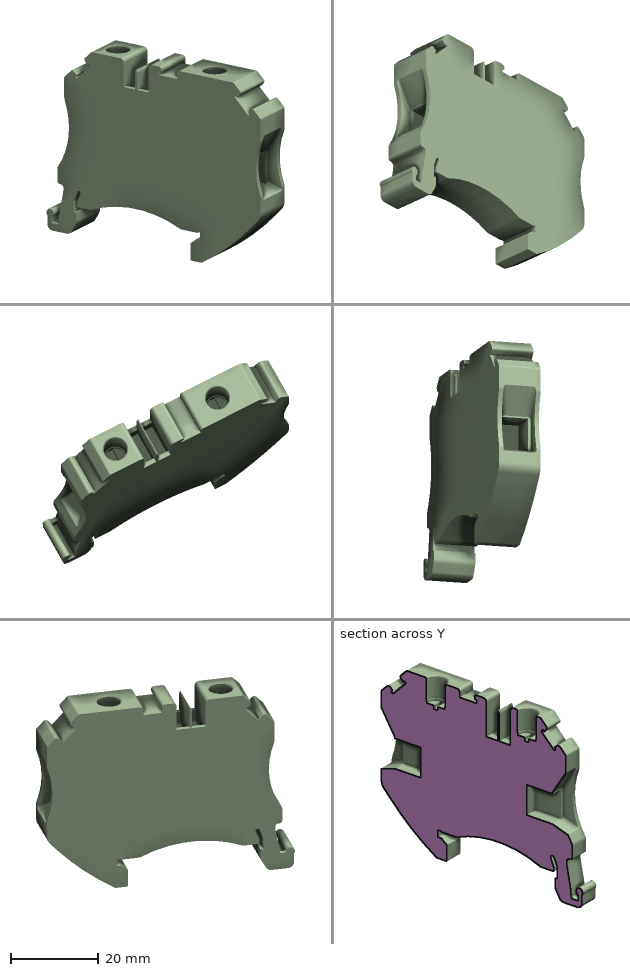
import cadquery as cq
import math

length = 58.85
width = 10.0
height = 45.5
half_width = width / 2

housing_left = 4.9
housing_centre = (housing_left + length) / 2
shoulder_z = 38.0

notch_outer = shoulder_z - housing_left
notch_floor = 30.0
notch_lower_wall = 47.4
notch_upper_wall = 53.45
notch_lip_radius = 0.65
undercut_size = 0.55
back_skin = 0.4

slot_left = 21.2
slot_right = 28.1
slot_floor = 38.65
slot_round = 0.95
pocket_width = 7.9
pocket_depth = 2.95
blade_thickness = 0.6
blade_top = 43.5
blade_bevel = 0.65
blade_bevel_inset = 0.25
marker_left = 31.6
marker_right = 35.9
marker_floor = 43.45
marker_round = 0.75
marker_undercut_reach = 0.65
marker_undercut_height = 1.0

grip_radius = 18.0
grip_depth = 1.3
grip_z = 25.9
flare_left = 3.0
flare_bottom = 11.7
flare_round = 2.05
shoulder_round = 0.55
grip_edge_round = 1.95

rail_z = 7.05
arch_half_span = 12.3
arch_rise = 2.6
arch_x = 24.6
claw_left = 39.6
claw_toe = 42.6
claw_root = 42.25
belly_radius = 64.75

foot_left = 0.25
foot_right = 8.2
hook_roll_radius = 1.0
hook_roll_z = 4.2
hook_roll_inner = 1.75
web_thickness = 1.0

screw_x = (16.35, 42.9)
well_diameter = 5.5
well_chamfer = 0.25
well_depth = 5.9
head_diameter = 5.0
head_recess = 0.6
driver_slot_width = 1.1
driver_slot_depth = 0.9

entry_width = 7.9
entry_corner = 0.6
funnel_top = 33.6
funnel_bottom = 18.0
funnel_depth = 8.8
tunnel_top = 26.9
funnel_end_top = 27.25
tunnel_bottom = 19.25
tunnel_width = 6.35
tunnel_end = 16.35


def diagonal_point(difference, total):
    """Point (x, z) with z - x = difference and x + z = total."""
    return (total - difference) / 2, (total + difference) / 2


def mirror_corner(corner):
    return (2 * housing_centre - corner[0], *corner[1:])


def rounded_outline(corners):
    """Closed XZ wire through (x, z) or (x, z, radius) corners, at the -Y face."""
    path = None
    count = len(corners)
    for i, corner in enumerate(corners):
        here = cq.Vector(*corner[:2])
        radius = corner[2] if len(corner) > 2 else 0
        to_last = (cq.Vector(*corners[i - 1][:2]) - here).normalized()
        to_next = (cq.Vector(*corners[(i + 1) % count][:2]) - here).normalized()
        half_angle = to_last.getAngle(to_next) / 2
        setback = radius / math.tan(half_angle)
        start = here + to_last * setback
        if path is None:
            path = cq.Workplane("XZ", origin=(0, -half_width, 0)).moveTo(start.x, start.y)
        else:
            path = path.lineTo(start.x, start.y)
        if radius:
            bisector = (to_last + to_next).normalized()
            middle = here + bisector * (radius / math.sin(half_angle) - radius)
            end = here + to_next * setback
            path = path.threePointArc((middle.x, middle.y), (end.x, end.y))
    return path.close()


def prism(corners, depth=width):
    """Solid from the -Y face inwards by depth."""
    return rounded_outline(corners).extrude(-depth)


def y_cylinder(x, z, radius):
    return cq.Workplane("XZ", origin=(x, -half_width, z)).circle(radius).extrude(-width)


def box(x_min, x_max, y_min, y_max, z_min, z_max):
    size = (x_max - x_min, y_max - y_min, z_max - z_min)
    return cq.Workplane("XY").box(*size, centered=False).translate((x_min, y_min, z_min))


def grip_half_chord(sagitta):
    """Half the height of the grip arc where it is sagitta away from its deepest point."""
    return math.sqrt(grip_radius**2 - (grip_radius - sagitta) ** 2)


flare_top = grip_z - grip_half_chord(housing_left + grip_depth - flare_left)
grip_half_height = grip_half_chord(grip_depth)

foot_hook = [
    (foot_left, 0, 1.4),
    (foot_left, hook_roll_z),
    (hook_roll_inner, hook_roll_z),
    (hook_roll_inner, 3.4),
    (1.4, 3.05),
    (1.4, 1.8, 0.25),
    (3.3, 1.8, 0.5),
    (3.55, 4.4),
    (4.65, 10.3, 6.5),
    (4.65, flare_bottom, 0.75),
]
grip_flare = [
    (flare_left, flare_bottom, 0.6),
    (flare_left, flare_top, flare_round),
    (housing_left, grip_z - grip_half_height),
]
left_shoulder = [
    (housing_left, shoulder_z, shoulder_round),
    (*diagonal_point(notch_outer, notch_lower_wall), notch_lip_radius),
    diagonal_point(notch_floor, notch_lower_wall),
    diagonal_point(notch_floor, notch_upper_wall),
    (*diagonal_point(notch_outer, notch_upper_wall), notch_lip_radius),
    (height - notch_outer, height, shoulder_round),
]
top_slots = [
    (slot_left, height, slot_round),
    (slot_left, slot_floor),
    (slot_right, slot_floor),
    (slot_right, height, slot_round),
    (marker_left, height, marker_round),
    (marker_left, marker_floor),
    (marker_right, marker_floor),
    (marker_right, height, marker_round),
]
right_shoulder = [mirror_corner(corner) for corner in reversed(left_shoulder)]
rail_claw = [
    (length, 13.95, 2.95),
    (50.4, 4.8, belly_radius),
    (claw_toe, 0),
    (claw_left, 0, 0.2),
    (claw_left, 4.25),
    (41.25, 5.55),
    (claw_root, 5.6),
    (claw_root, 7.25),
    (41.45, 7.25),
    (41.45, rail_z),
]
spring_gap = [
    (8.35, rail_z, 0.3),
    (8.4, 8.25, 1.2),
    (9.5, 10.75, 0.44),
    (8.6, 11.1, 0.44),
    (7.5, 8.4, 1.75),
    (7.5, 5.55),
    (foot_right, 5.65),
    (foot_right, 3.05, 2.0),
    (6.4, 0, 1.5),
]
body = prism(
    foot_hook + grip_flare + left_shoulder + top_slots + right_shoulder + rail_claw + spring_gap
)

grip_offset = grip_radius - grip_depth
for grip_x in (housing_left - grip_offset, length + grip_offset):
    body = body.cut(y_cylinder(grip_x, grip_z, grip_radius))
grip_edges = (
    (housing_left, grip_z + grip_half_height),
    (length, grip_z + grip_half_height),
    (length, grip_z - grip_half_height),
)
for edge_x, edge_z in grip_edges:
    edge = cq.NearestToPointSelector((edge_x, 0, edge_z))
    body = body.edges("|Y").edges(edge).fillet(grip_edge_round)
arch = (
    cq.Workplane("XZ", origin=(arch_x, -half_width, rail_z))
    .moveTo(-arch_half_span, 0)
    .threePointArc((0, arch_rise), (arch_half_span, 0))
    .close()
    .extrude(-width)
)
body = body.cut(arch)

body = body.union(y_cylinder(hook_roll_radius, hook_roll_z, hook_roll_radius))

web = prism([(1.2, 1.5), (1.2, 4.4), (1.8, 4.4), (2.3, 4.05), (3.7, 4.05), (3.7, 1.5)], web_thickness)
body = body.union(web.translate((0, width - web_thickness, 0)))

undercut_length = width - back_skin
undercut_sum = undercut_size * math.sqrt(2)
for wall, side in ((notch_lower_wall, -1), (notch_upper_wall, 1)):
    lip_level = notch_floor + undercut_sum
    undercut = [
        diagonal_point(notch_floor, wall),
        diagonal_point(notch_floor, wall + side * undercut_sum),
        diagonal_point(lip_level, wall + side * undercut_sum),
        diagonal_point(lip_level, wall),
    ]
    for corners in (undercut, [mirror_corner(corner) for corner in undercut]):
        body = body.cut(prism(corners, undercut_length))
marker_undercut_left = marker_left - marker_undercut_reach
marker_undercut = [
    (marker_left, marker_floor),
    (marker_undercut_left, marker_floor),
    (marker_undercut_left, marker_floor + marker_undercut_height / 2),
    (marker_left, marker_floor + marker_undercut_height),
]
body = body.cut(prism(marker_undercut, undercut_length))

pocket_floor = slot_floor - pocket_depth
half_pocket = pocket_width / 2
body = body.cut(box(slot_left, slot_right, -half_pocket, half_pocket, pocket_floor, slot_floor))
blade_x = (slot_left + slot_right) / 2
half_blade = blade_thickness / 2
blade_tip = half_blade - blade_bevel_inset
blade = [
    (blade_x - half_blade, pocket_floor),
    (blade_x - half_blade, blade_top - blade_bevel),
    (blade_x - blade_tip, blade_top),
    (blade_x + blade_tip, blade_top),
    (blade_x + half_blade, blade_top - blade_bevel),
    (blade_x + half_blade, pocket_floor),
]
body = body.union(prism(blade, undercut_length))


def screw_well(x):
    """Chamfered well down to a slotted screw head."""
    radius = well_diameter / 2
    head_z = height - well_depth - head_recess
    top = cq.Workplane("XY", origin=(x, 0, height))
    well = top.circle(radius).extrude(-well_depth)
    mouth = top.circle(radius + well_chamfer).extrude(-well_chamfer, taper=45)
    head = top.circle(head_diameter / 2).extrude(-well_depth - head_recess)
    slot = (
        cq.Workplane("XY", origin=(x, 0, head_z))
        .rect(driver_slot_width, head_diameter)
        .extrude(-driver_slot_depth)
    )
    return well.union(mouth).union(head).union(slot)


for x in screw_x:
    body = body.cut(screw_well(x))


def conductor_entry():
    """Tapered funnel and straight tunnel opening through the left grip."""
    reach = funnel_depth - housing_left
    slope_top = (funnel_top - funnel_end_top) / reach
    slope_bottom = (tunnel_bottom - funnel_bottom) / reach
    funnel_side = [
        (0, funnel_bottom - slope_bottom * housing_left),
        (0, funnel_top + slope_top * housing_left),
        (funnel_depth, funnel_end_top),
        (funnel_depth, tunnel_bottom),
    ]
    funnel = prism(funnel_side, entry_width).translate((0, (width - entry_width) / 2, 0))
    funnel = funnel.edges("not (|Y or |Z)").fillet(entry_corner)
    half_tunnel = tunnel_width / 2
    tunnel = box(housing_left, tunnel_end, -half_tunnel, half_tunnel, tunnel_bottom, tunnel_top)
    return funnel.union(tunnel)


entry = conductor_entry()
far_entry = entry.mirror("YZ").translate((2 * housing_centre, 0, 0))
result = body.cut(entry).cut(far_entry)